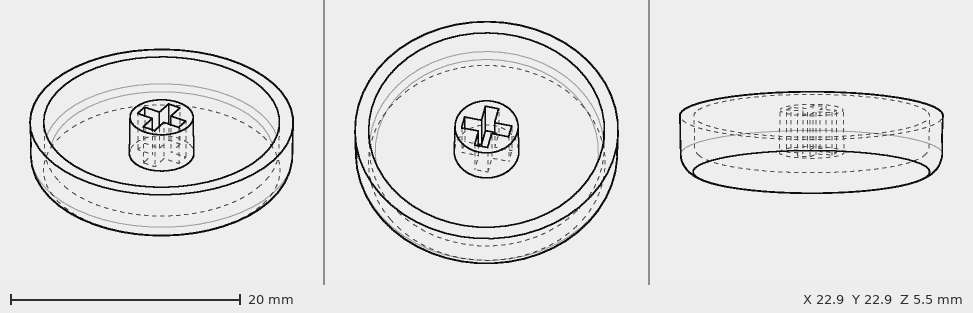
import math

import cadquery as cq

rim_diameter = 22.92
rim_height = 5.0
total_height = 5.5

draft_angle = 1.0
draft_slope = math.tan(math.radians(draft_angle))

rounding_height = 1.6
base_diameter = 20.6

floor_height = 1.75
cavity_fillet = 0.5
cavity_low_diameter = 20.43

stem_top_diameter = 5.5
stem_height = total_height - floor_height
cross_length = 4.2
cross_width = 1.17
cross_depth = stem_height


def make_cone(base_z, base_radius, top_z, top_radius):
    """Upright drafted disc between two levels."""
    return (
        cq.Workplane("XY", origin=(0, 0, base_z))
        .circle(base_radius)
        .workplane(offset=top_z - base_z)
        .circle(top_radius)
        .loft()
    )


def make_body():
    """Solid disc with a drafted wall and a rounded lower edge."""
    rim_radius = rim_diameter / 2
    wall_low_radius = rim_radius - (rim_height - rounding_height) * draft_slope
    outline = (
        cq.Workplane("XZ")
        .moveTo(0, rim_height)
        .lineTo(rim_radius, rim_height)
        .lineTo(wall_low_radius, rounding_height)
        .tangentArcPoint((base_diameter / 2, 0), relative=False)
        .lineTo(0, 0)
        .close()
    )
    return outline.revolve(360, (0, 0, 0), (0, 1, 0))


def make_cavity():
    """Space inside the rim, widening upward above a filleted floor edge."""
    low_radius = cavity_low_diameter / 2
    wall_start = floor_height + cavity_fillet
    floor_radius = low_radius - cavity_fillet * draft_slope
    top_radius = low_radius + (rim_height - wall_start) * draft_slope
    cavity = make_cone(floor_height, floor_radius, rim_height, top_radius)
    return cavity.faces("<Z").edges().fillet(cavity_fillet)


def make_stem():
    """Drafted stem rising from the cavity floor past the rim."""
    top_radius = stem_top_diameter / 2
    base_radius = top_radius + stem_height * draft_slope
    return make_cone(floor_height, base_radius, total_height, top_radius)


def make_cross():
    """Two crossed slots reaching from the stem top down to the cavity floor."""
    base = cq.Workplane("XY", origin=(0, 0, total_height - cross_depth))
    along_x = base.rect(cross_length, cross_width).extrude(cross_depth)
    along_y = base.rect(cross_width, cross_length).extrude(cross_depth)
    return along_x.union(along_y)


cup = make_body().cut(make_cavity())
result = cup.union(make_stem()).cut(make_cross())